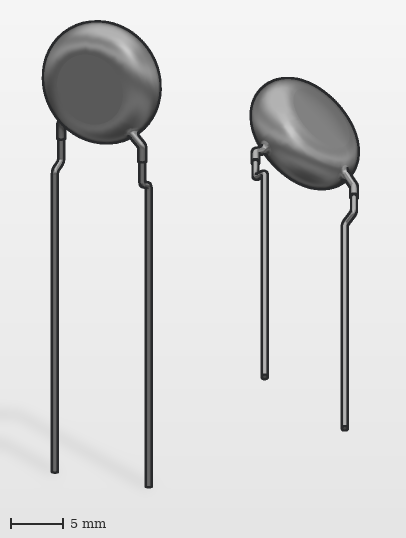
import cadquery as cq
import math

total_height = 46.0
disc_diameter = 12.0
disc_thickness = 5.0

wire_diameter = 0.6
coating_diameter = 0.8
lead_spacing = 10.0
lead_offset = 1.4
bend_radius = 0.5
flare_radius = 0.5

shoulder_z = -5.3
coating_end_z = -6.8
jog_top_z = -9.1
jog_bottom_z = -9.65
lead_end_z = disc_diameter / 2 - total_height

entry_run = 1.85


def make_disc():
    """Flat-faced disc with a fully rounded rim, its axis along Y."""
    half_thickness = disc_thickness / 2
    flat_radius = disc_diameter / 2 - half_thickness
    return (
        cq.Workplane("YZ")
        .moveTo(-half_thickness, 0)
        .lineTo(-half_thickness, flat_radius)
        .threePointArc((0, disc_diameter / 2), (half_thickness, flat_radius))
        .lineTo(half_thickness, 0)
        .close()
        .revolve(360, (0, 0, 0), (1, 0, 0))
    )


def bent_rod(points, diameter):
    """Round rod along a polyline whose inner corners are rounded to the bend radius."""
    corners = [cq.Vector(*point) for point in points]
    edges = []
    start = corners[0]
    for before, corner, after in zip(corners, corners[1:], corners[2:]):
        back = (before - corner).normalized()
        ahead = (after - corner).normalized()
        half_angle = back.getAngle(ahead) / 2
        setback = bend_radius / math.tan(half_angle)
        corner_gap = bend_radius / math.sin(half_angle) - bend_radius
        arc_start = corner + back * setback
        arc_middle = corner + (back + ahead).normalized() * corner_gap
        arc_end = corner + ahead * setback
        edges.append(cq.Edge.makeLine(start, arc_start))
        edges.append(cq.Edge.makeThreePointArc(arc_start, arc_middle, arc_end))
        start = arc_end
    edges.append(cq.Edge.makeLine(start, corners[-1]))
    path = cq.Workplane(obj=cq.Wire.assembleEdges(edges))
    profile_plane = cq.Plane(corners[0], normal=corners[1] - corners[0])
    return cq.Workplane(profile_plane).circle(diameter / 2).sweep(path)


def make_lead():
    """Lead on the +X side, whose upper leg lies towards -Y."""
    x = lead_spacing / 2
    y = -lead_offset
    coated_points = [
        (x - entry_run, y, shoulder_z + entry_run),
        (x, y, shoulder_z),
        (x, y, coating_end_z),
    ]
    bare_points = [
        (x, y, coating_end_z),
        (x, y, jog_top_z),
        (x, 0, jog_bottom_z),
        (x, 0, lead_end_z),
    ]
    coated = bent_rod(coated_points, coating_diameter)
    return coated.union(bent_rod(bare_points, wire_diameter))


def join_lead(body, lead, near_entry):
    """Join a lead to the body, the coating flaring out at the rim edge nearest to a point."""
    entry_edge = cq.selectors.NearestToPointSelector(near_entry)
    return body.union(lead, clean=False).edges(entry_edge).fillet(flare_radius)


lead = make_lead()
opposite_lead = lead.rotate((0, 0, 0), (0, 0, 1), 180)

entry_x = (lead_spacing - entry_run) / 2
entry_z = shoulder_z + entry_run / 2
result = make_disc()
result = join_lead(result, lead, (entry_x, -lead_offset, entry_z))
result = join_lead(result, opposite_lead, (-entry_x, lead_offset, entry_z))